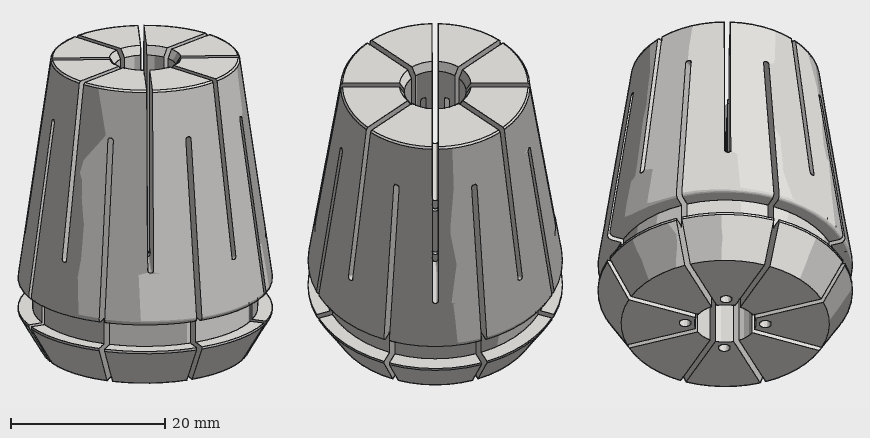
import cadquery as cq
import math

HEIGHT = 40.0
OUTER_RADIUS = 16.5
BORE_DIAMETER = 8.0
BORE_CHAMFER_WIDTH = 0.65
BORE_CHAMFER_DEPTH = 1.1
TOP_EDGE_CHAMFER = 0.25

NOSE_CONE_HEIGHT = 5.2
NOSE_CONE_ANGLE = 30.0
NOSE_RIM_HEIGHT = 0.3

GROOVE_RADIUS = 14.6
GROOVE_TOP = 9.0

TAPER_ANGLE = 8.0
TAPER_RIM_FILLET = 0.6

SLOTS_PER_END = 8
SLOT_WIDTH = 0.75
SLOT_ARC_RADIUS = 80.0
BOTTOM_SLOT_CROWN = 34.6
TOP_SLOT_FLOOR = 14.5

SMALL_HOLE_COUNT = 4
SMALL_HOLE_DIAMETER = 1.5
SMALL_HOLE_CIRCLE_RADIUS = 5.2
SMALL_HOLE_DEPTH = TOP_SLOT_FLOOR + SLOT_WIDTH

SLOT_PITCH = 360.0 / SLOTS_PER_END
TOP_SLOT_START = SLOT_PITCH / 2
SMALL_HOLE_START = TOP_SLOT_START + SLOT_PITCH


def turned_body():
    """Revolve the section between the bore and the outside about Z."""
    bore_radius = BORE_DIAMETER / 2
    nose_angle = math.radians(NOSE_CONE_ANGLE)
    taper_angle = math.radians(TAPER_ANGLE)

    bottom_radius = OUTER_RADIUS - NOSE_CONE_HEIGHT * math.tan(nose_angle)
    nose_top = NOSE_CONE_HEIGHT + NOSE_RIM_HEIGHT
    fillet_centre_radius = OUTER_RADIUS - TAPER_RIM_FILLET
    fillet_centre_height = GROOVE_TOP + TAPER_RIM_FILLET
    fillet_middle_offset = TAPER_RIM_FILLET * math.cos(math.radians(45))
    fillet_middle = (
        fillet_centre_radius + fillet_middle_offset,
        fillet_centre_height - fillet_middle_offset,
    )

    taper_start_radius = fillet_centre_radius + TAPER_RIM_FILLET * math.cos(taper_angle)
    taper_start = fillet_centre_height + TAPER_RIM_FILLET * math.sin(taper_angle)
    chamfer_start = HEIGHT - TOP_EDGE_CHAMFER
    chamfer_radius = taper_start_radius - (chamfer_start - taper_start) * math.tan(taper_angle)

    section = (
        cq.Workplane("XZ")
        .moveTo(bore_radius, 0)
        .lineTo(bottom_radius, 0)
        .lineTo(OUTER_RADIUS, NOSE_CONE_HEIGHT)
        .lineTo(OUTER_RADIUS, nose_top)
        .lineTo(GROOVE_RADIUS, nose_top)
        .lineTo(GROOVE_RADIUS, GROOVE_TOP)
        .lineTo(fillet_centre_radius, GROOVE_TOP)
        .threePointArc(fillet_middle, (taper_start_radius, taper_start))
        .lineTo(chamfer_radius, chamfer_start)
        .lineTo(chamfer_radius - TOP_EDGE_CHAMFER, HEIGHT)
        .lineTo(bore_radius + BORE_CHAMFER_WIDTH, HEIGHT)
        .lineTo(bore_radius, HEIGHT - BORE_CHAMFER_DEPTH)
        .close()
    )
    return section.revolve(360, (0, 0, 0), (0, 1, 0))


def slot_disc(centre_height, angle):
    """Upright disc across the axis, with a half-round rim, that cuts two opposite slots."""
    half_width = SLOT_WIDTH / 2
    flat_radius = SLOT_ARC_RADIUS - half_width
    half_section = (
        cq.Workplane("XY")
        .moveTo(-half_width, 0)
        .lineTo(-half_width, flat_radius)
        .threePointArc((0, SLOT_ARC_RADIUS), (half_width, flat_radius))
        .lineTo(half_width, 0)
        .close()
    )
    disc = half_section.revolve(360, (0, 0, 0), (1, 0, 0))
    return disc.translate((0, 0, centre_height)).rotate((0, 0, 0), (0, 0, 1), angle)


def small_holes():
    """Cutters rising from the bottom face to just inside the top slots."""
    return (
        cq.Workplane("XY")
        .polarArray(SMALL_HOLE_CIRCLE_RADIUS, SMALL_HOLE_START, 360, SMALL_HOLE_COUNT)
        .circle(SMALL_HOLE_DIAMETER / 2)
        .extrude(SMALL_HOLE_DEPTH)
    )


result = turned_body()
for pair in range(SLOTS_PER_END // 2):
    turn = pair * SLOT_PITCH
    result = result.cut(slot_disc(BOTTOM_SLOT_CROWN - SLOT_ARC_RADIUS, turn))
    result = result.cut(slot_disc(TOP_SLOT_FLOOR + SLOT_ARC_RADIUS, TOP_SLOT_START + turn))
result = result.cut(small_holes())